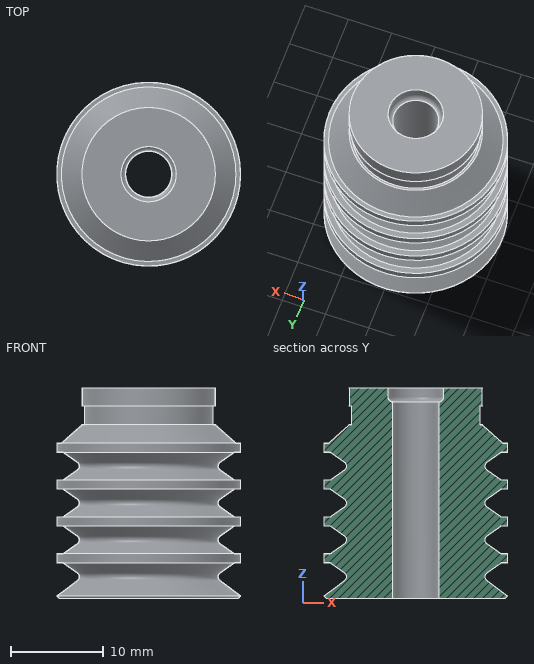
import cadquery as cq
import math

height = 22.9
outer_radius = 20.0 / 2
collar_radius = 14.5 / 2
neck_radius = 14.0 / 2
collar_height = 2.0
neck_height = 2.02
shoulder_height = 2.0
shoulder_base_radius = 9.48

rib_count = 4
rib_thickness = 1.0
rib_pitch = 4.0
groove_radius = 7.55
groove_round = 0.5
groove_mouth_radius = 9.32

lip_height = 0.3
lip_base_radius = 9.73

bore_radius = 5.0 / 2
counterbore_radius = 6.0 / 2
counterbore_depth = 1.5
counterbore_round = counterbore_radius - bore_radius

collar_bottom = height - collar_height
neck_bottom = collar_bottom - neck_height
first_rib_top = neck_bottom - shoulder_height
groove_half_width = (rib_pitch - rib_thickness) / 2

mouth_offset = groove_mouth_radius - (groove_radius + groove_round)
mouth_distance = math.hypot(groove_half_width, mouth_offset)
wall_angle = math.atan2(mouth_offset, groove_half_width) + math.asin(groove_round / mouth_distance)
tangent_half_width = groove_round * math.sin(wall_angle)
tangent_radius = groove_radius + groove_round * (1 - math.cos(wall_angle))


def add_rib_and_groove(profile, rib_top):
    """Draw one rib edge, the groove wall under it and the groove round."""
    rib_bottom = rib_top - rib_thickness
    groove_z = rib_bottom - groove_half_width
    return (
        profile.lineTo(outer_radius, rib_top)
        .lineTo(outer_radius, rib_bottom)
        .lineTo(groove_mouth_radius, rib_bottom)
        .lineTo(tangent_radius, groove_z + tangent_half_width)
        .threePointArc((groove_radius, groove_z), (tangent_radius, groove_z - tangent_half_width))
    )


def make_body():
    """Revolve the solid outline; XZ workplane coordinates are radius and height."""
    profile = (
        cq.Workplane("XZ")
        .moveTo(0, height)
        .lineTo(collar_radius, height)
        .lineTo(collar_radius, collar_bottom)
        .lineTo(neck_radius, collar_bottom)
        .lineTo(neck_radius, neck_bottom)
        .lineTo(collar_radius, neck_bottom)
        .lineTo(shoulder_base_radius, first_rib_top)
    )
    for rib in range(rib_count):
        rib_top = first_rib_top - rib * rib_pitch
        if rib > 0:
            profile = profile.lineTo(groove_mouth_radius, rib_top)
        profile = add_rib_and_groove(profile, rib_top)
    profile = (
        profile.lineTo(outer_radius, lip_height)
        .lineTo(lip_base_radius, 0)
        .lineTo(0, 0)
        .close()
    )
    return profile.revolve(360, (0, 0), (0, 1))


def make_counterbore():
    """Cutter for the counterbore, rounded where its wall meets its floor."""
    return (
        cq.Workplane("XY", origin=(0, 0, height - counterbore_depth))
        .circle(counterbore_radius)
        .extrude(counterbore_depth)
        .faces("<Z")
        .edges()
        .fillet(counterbore_round)
    )


bore = cq.Workplane("XY").circle(bore_radius).extrude(height)
result = make_body().cut(bore).cut(make_counterbore())